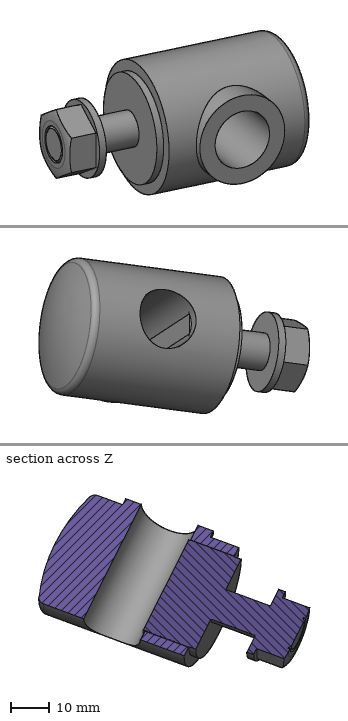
import cadquery as cq
import math

OVERLAP = 0.7

TOTAL_LENGTH = 69.0
DOME_TOP = 24.0
HOUSING_RADIUS = 18.0
HOUSING_BOTTOM = -20.5
RIM_START = 19.45
RIM_RADIUS = 2.0
BOSS_RADIUS = 12.5
BOSS_END = 20.0
CROSS_BORE_RADIUS = 8.0

PLUG_RADIUS = 15.0
PLUG_EXPOSED = 2.0
PLUG_END = -7.5
STUD_RADIUS = 5.0
STUD_CHAMFER = 0.7
WASHER_RADIUS = 10.5
WASHER_THICKNESS = 2.0
NUT_WIDTH = 17.0
NUT_HEIGHT = 8.0
NUT_FACE_RADIUS = 6.35
NUT_CROWN_RADIUS = 8.0

PLUG_BOTTOM = HOUSING_BOTTOM - PLUG_EXPOSED
BOLT_BOTTOM = DOME_TOP - TOTAL_LENGTH
WASHER_BOTTOM = BOLT_BOTTOM + NUT_HEIGHT
WASHER_TOP = WASHER_BOTTOM + WASHER_THICKNESS


def y_cylinder(radius, start, end):
    """Cylinder on the main axis between two Y positions."""
    return cq.Workplane("XZ", origin=(0, start, 0)).circle(radius).extrude(start - end)


def x_cylinder(radius, start, end):
    """Cylinder on the cross axis between two X positions."""
    return cq.Workplane("YZ", origin=(start, 0, 0)).circle(radius).extrude(end - start)


def domed_barrel():
    """Barrel whose rounded rim runs tangentially into a shallow spherical dome."""
    rim_center = HOUSING_RADIUS - RIM_RADIUS
    rise = DOME_TOP - RIM_START
    dome_radius = (rim_center**2 + rise**2 - RIM_RADIUS**2) / (2 * (rise - RIM_RADIUS))
    dome_center = DOME_TOP - dome_radius
    edge_angle = math.asin(rim_center / (dome_radius - RIM_RADIUS))

    def arc_point(center_x, center_y, radius, angle):
        return (center_x + radius * math.sin(angle), center_y + radius * math.cos(angle))

    dome_middle = arc_point(0, dome_center, dome_radius, edge_angle / 2)
    dome_edge = arc_point(0, dome_center, dome_radius, edge_angle)
    rim_middle = arc_point(rim_center, RIM_START, RIM_RADIUS, (edge_angle + math.pi / 2) / 2)
    return (
        cq.Workplane("XY")
        .moveTo(0, HOUSING_BOTTOM)
        .lineTo(HOUSING_RADIUS, HOUSING_BOTTOM)
        .lineTo(HOUSING_RADIUS, RIM_START)
        .threePointArc(rim_middle, dome_edge)
        .threePointArc(dome_middle, (0, DOME_TOP))
        .close()
        .revolve(360, (0, 0, 0), (0, 1, 0))
    )


def make_housing():
    """Domed barrel with a side boss, a through cross bore and a socket for the plug."""
    boss = x_cylinder(BOSS_RADIUS, 0, BOSS_END)
    cross_bore = x_cylinder(CROSS_BORE_RADIUS, -HOUSING_RADIUS - OVERLAP, BOSS_END + OVERLAP)
    socket = y_cylinder(PLUG_RADIUS, HOUSING_BOTTOM - OVERLAP, PLUG_END)
    return domed_barrel().union(boss).cut(cross_bore).cut(socket)


def make_nut():
    """Hexagon with corners toward +Z and -Z and a rounded crown on its lower end."""
    corner_radius = NUT_WIDTH / math.sqrt(3)
    hexagon = (
        cq.Workplane("XZ", origin=(0, BOLT_BOTTOM, 0))
        .polygon(6, 2 * corner_radius)
        .extrude(-NUT_HEIGHT)
        .rotate((0, 0, 0), (0, 1, 0), 30)
    )
    outer_radius = corner_radius + OVERLAP

    def crown_point(radius):
        """Point on the crown arc, which leaves the flat end face tangentially."""
        offset = radius - NUT_FACE_RADIUS
        drop = NUT_CROWN_RADIUS - math.sqrt(NUT_CROWN_RADIUS**2 - offset**2)
        return (radius, BOLT_BOTTOM + drop)

    crown = (
        cq.Workplane("XY")
        .moveTo(0, BOLT_BOTTOM)
        .lineTo(NUT_FACE_RADIUS, BOLT_BOTTOM)
        .threePointArc(crown_point((NUT_FACE_RADIUS + outer_radius) / 2), crown_point(outer_radius))
        .lineTo(outer_radius, WASHER_BOTTOM)
        .lineTo(0, WASHER_BOTTOM)
        .close()
        .revolve(360, (0, 0, 0), (0, 1, 0))
    )
    thread_bore = y_cylinder(STUD_RADIUS, BOLT_BOTTOM - OVERLAP, WASHER_BOTTOM)
    return hexagon.intersect(crown).cut(thread_bore)


def make_clamp_bolt():
    """Plug, chamfered stud, washer and nut in one piece."""
    plug = y_cylinder(PLUG_RADIUS, PLUG_BOTTOM, PLUG_END)
    stud = y_cylinder(STUD_RADIUS, BOLT_BOTTOM, PLUG_BOTTOM).faces("<Y").chamfer(STUD_CHAMFER)
    washer = y_cylinder(WASHER_RADIUS, WASHER_BOTTOM, WASHER_TOP)
    return plug.union(stud).union(washer).union(make_nut())


housing = make_housing()
clamp_bolt = make_clamp_bolt()

result = cq.Compound.makeCompound([housing.val(), clamp_bolt.val()])